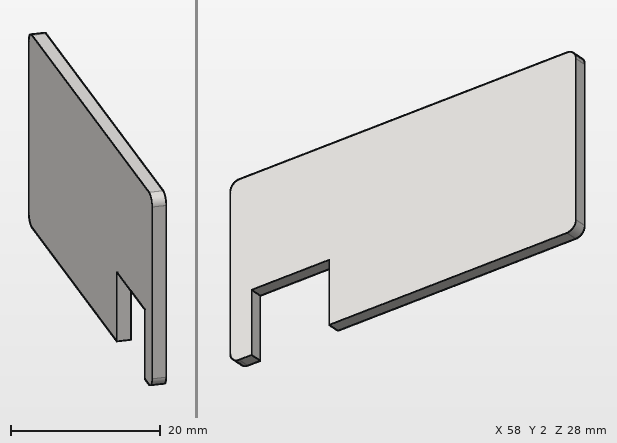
import cadquery as cq

length = 58.0
thickness = 2.0
height = 28.0
corner_radius = 1.5

notch_width = 13.0
notch_height = 10.1
notch_end_gap = 3.6


def make_plate():
    plate = cq.Workplane("XY").box(length, thickness, height)
    return plate.edges("|Y").fillet(corner_radius)


def make_notch():
    center_x = length / 2 - notch_end_gap - notch_width / 2
    center_z = -height / 2 + notch_height / 2
    notch = cq.Workplane("XY").box(notch_width, thickness, notch_height)
    return notch.translate((center_x, 0, center_z))


result = make_plate().cut(make_notch())